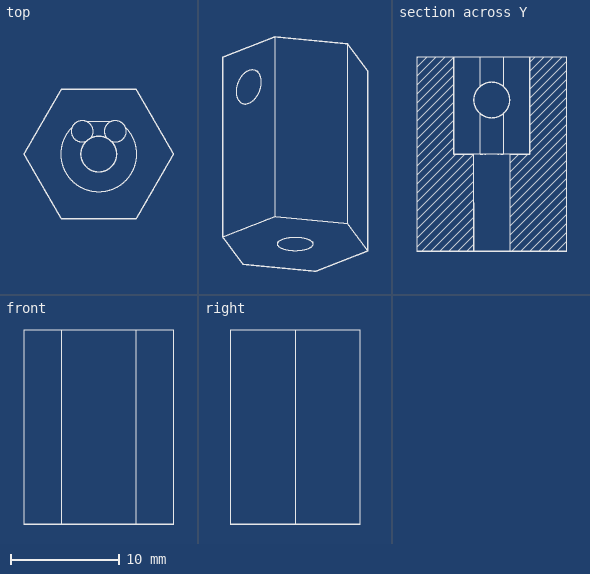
import cadquery as cq
import math

height = 18.0
across_flats = 12.0
across_corners = across_flats / math.cos(math.radians(30))

socket_diameter = 7.0
socket_flat_y = 3.0
socket_depth = 9.0
through_diameter = 3.3

relief_diameter = 2.0
relief_x = 1.53
relief_y = 2.1
relief_tip_angle = 118.0

screw_diameter = 3.3
screw_depth = 4.0

socket_floor_z = height - socket_depth


def make_socket():
    """Round socket cut off by a flat on its +Y side."""
    radius = socket_diameter / 2
    bore = cq.Workplane("XY").workplane(offset=socket_floor_z).circle(radius).extrude(socket_depth)
    below_flat = (
        cq.Workplane("XY")
        .workplane(offset=socket_floor_z)
        .center(0, (socket_flat_y - radius) / 2)
        .rect(socket_diameter, socket_flat_y + radius)
        .extrude(socket_depth)
    )
    return bore.intersect(below_flat)


def make_relief(x):
    """Drilled hole whose conical tip lies below the socket floor."""
    radius = relief_diameter / 2
    tip_length = radius / math.tan(math.radians(relief_tip_angle / 2))
    profile = (
        cq.Workplane("XZ")
        .moveTo(0, socket_floor_z - tip_length)
        .lineTo(radius, socket_floor_z)
        .lineTo(radius, height)
        .lineTo(0, height)
        .close()
    )
    return profile.revolve(360, (0, 0, 0), (0, 1, 0)).translate((x, relief_y, 0))


def make_screw_hole():
    """Cross hole running from the socket axis toward +Y."""
    return (
        cq.Workplane("XZ")
        .center(0, height - screw_depth)
        .circle(screw_diameter / 2)
        .extrude(-across_flats / 2)
    )


body = cq.Workplane("XY").polygon(6, across_corners).extrude(height)
through_hole = cq.Workplane("XY").circle(through_diameter / 2).extrude(height)

result = body.cut(through_hole).cut(make_socket())
for side in (-1, 1):
    result = result.cut(make_relief(side * relief_x))
result = result.cut(make_screw_hole())